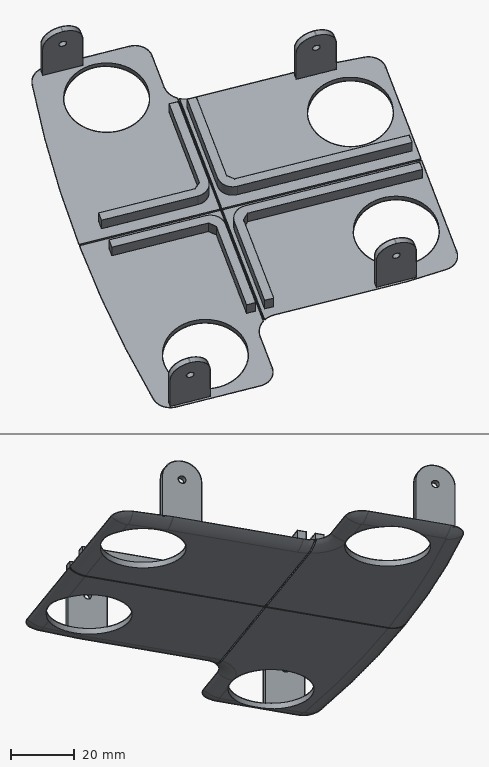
import cadquery as cq
import math

diagonal = math.sqrt(0.5)

plate_length = 112.62
plate_width = 138.61
plate_thickness = 2.0
half_width = plate_width / 2
back_y = 65.8
front_y = back_y - plate_length
neck_half_width = 44.2
shoulder_y = -3.0
taper_start_y = 47.4
taper_depth = 1.2
front_arc_radius = 464.0
shoulder_corner_radius = 5.7
back_corner_radius = 5.7
front_corner_radius = 6.0
neck_radius = 6.7

underside_radius = 8.5
underside_overhang = underside_radius - math.sqrt(
    underside_radius**2 - (underside_radius - plate_thickness) ** 2
)

joint_gap = 0.5

edge_reach = 1.0

hole_diameter = 27.0
back_hole = (24.25, 50.0)
front_hole = (52.3, -21.5)

rib_width = 3.0
rib_height = 4.5
rib_side_x = 4.0
back_rib_side_y = 1.5
front_rib_side_y = -1.45
rib_end_x = 41.0
back_rib_end_y = 64.0
front_rib_end_y = -38.2
rib_outer_radius = 5.0
rib_inner_chamfer = 2.0

lug_thickness = 2.0
lug_width = 13.2
lug_height = 20.6
lug_corner_radius = 6.5
lug_hole_diameter = 2.5
back_lug = (41.4, 44.1)
front_lug = (66.5, -31.5)


def front_edge_y(x):
    return front_y + front_arc_radius - math.sqrt(front_arc_radius**2 - x**2)


def round_upright_edge(body, point, radius):
    x, y = point
    around_point = cq.selectors.BoxSelector(
        (x - edge_reach, y - edge_reach, -plate_thickness),
        (x + edge_reach, y + edge_reach, 2 * plate_thickness),
    )
    return body.edges("|Z").edges(around_point).fillet(radius)


def rim_prism():
    """Straight-sided plate with the rim outline."""
    front_corner = (half_width, front_edge_y(half_width))
    shoulder_corner = (half_width, shoulder_y)
    neck_corner = (neck_half_width, shoulder_y)
    back_corner = (neck_half_width - taper_depth, back_y)
    half = (
        cq.Workplane("XY")
        .moveTo(0, front_y)
        .threePointArc((half_width / 2, front_edge_y(half_width / 2)), front_corner)
        .lineTo(*shoulder_corner)
        .lineTo(*neck_corner)
        .lineTo(neck_half_width, taper_start_y)
        .lineTo(*back_corner)
        .lineTo(0, back_y)
        .close()
        .extrude(plate_thickness)
    )
    half = round_upright_edge(half, front_corner, front_corner_radius)
    half = round_upright_edge(half, shoulder_corner, shoulder_corner_radius)
    half = round_upright_edge(half, neck_corner, neck_radius)
    half = round_upright_edge(half, back_corner, back_corner_radius)
    return half.union(half.mirror("YZ"))


def undivided_plate():
    """Fillet a thick, slightly oversized blank, then keep its lowest layer so the round ends on the rim."""
    rim = rim_prism().faces("<Z").wires().val()
    blank_wire = rim.offset2D(underside_overhang)[0]
    blank = cq.Workplane(cq.Solid.extrudeLinear(blank_wire, [], cq.Vector(0, 0, 2 * underside_radius)))
    rounded = blank.faces("<Z").edges().fillet(underside_radius)
    layer = cq.Workplane("XY").box(
        2 * plate_width, 2 * plate_length, plate_thickness, centered=(True, True, False)
    )
    return rounded.intersect(layer)


def rib(side, start_y, end_y):
    """L-shaped rib running along both joints, its elbow at the crossing."""
    inner_x = rib_side_x + rib_width
    inner_y = start_y + side * rib_width
    arc_inset = rib_outer_radius * (1 - diagonal)
    return (
        cq.Workplane("XY", origin=(0, 0, plate_thickness))
        .moveTo(rib_side_x, end_y)
        .lineTo(rib_side_x, start_y + side * rib_outer_radius)
        .threePointArc(
            (rib_side_x + arc_inset, start_y + side * arc_inset),
            (rib_side_x + rib_outer_radius, start_y),
        )
        .lineTo(rib_end_x, start_y)
        .lineTo(rib_end_x, inner_y)
        .lineTo(inner_x + rib_inner_chamfer, inner_y)
        .lineTo(inner_x, inner_y + side * rib_inner_chamfer)
        .lineTo(inner_x, end_y)
        .close()
        .extrude(rib_height)
    )


def lug(position):
    """Upright plate with a round top; position is its inner face X and its centre Y."""
    inner_x, center_y = position
    half_lug = lug_width / 2
    straight = lug_height - lug_corner_radius
    arc_inset = lug_corner_radius * (1 - diagonal)
    flat_end = half_lug - lug_corner_radius
    return (
        cq.Workplane("YZ", origin=(inner_x, center_y, plate_thickness))
        .moveTo(-half_lug, 0)
        .lineTo(-half_lug, straight)
        .threePointArc((-half_lug + arc_inset, lug_height - arc_inset), (-flat_end, lug_height))
        .lineTo(flat_end, lug_height)
        .threePointArc((half_lug - arc_inset, lug_height - arc_inset), (half_lug, straight))
        .lineTo(half_lug, 0)
        .close()
        .moveTo(0, straight)
        .circle(lug_hole_diameter / 2)
        .extrude(lug_thickness)
    )


def panel(whole_plate, side, hole_center, lug_position, rib_side_y, rib_end_y):
    """Right-hand panel behind (side = 1) or in front of (side = -1) the cross joint."""
    quarter_center = ((joint_gap + plate_width) / 2, side * (joint_gap + plate_length) / 2)
    quarter = cq.Workplane("XY").center(*quarter_center).rect(plate_width, plate_length)
    opening = cq.Workplane("XY").center(*hole_center).circle(hole_diameter / 2)
    floor = whole_plate.intersect(quarter.extrude(plate_thickness)).cut(opening.extrude(plate_thickness))
    return floor.union(rib(side, rib_side_y, rib_end_y)).union(lug(lug_position))


whole_plate = undivided_plate()

right_back_panel = panel(whole_plate, 1, back_hole, back_lug, back_rib_side_y, back_rib_end_y)
right_front_panel = panel(whole_plate, -1, front_hole, front_lug, front_rib_side_y, front_rib_end_y)

panels = []
for right_panel in (right_back_panel, right_front_panel):
    panels.append(right_panel.val())
    panels.append(right_panel.mirror("YZ").val())

result = cq.Compound.makeCompound(panels)